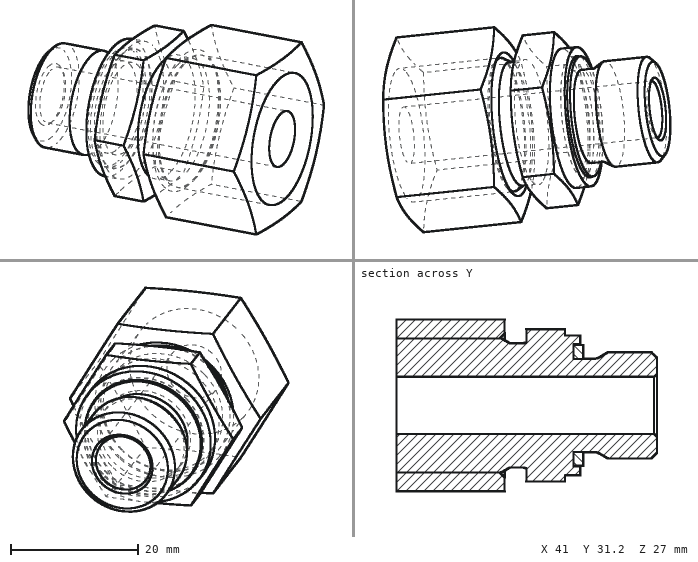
import cadquery as cq
import math


TOTAL_LENGTH = 41.0
BORE_RADIUS = 4.45
BORE_CHAMFER = 0.5
STUD_RADIUS = 8.35
STUD_CHAMFER = 0.9
STUD_END = 7.75
NECK_RADIUS = 7.4
NECK_TAPER_ANGLE = 30.0
NECK_START = 9.75
FLANGE_RADIUS = 11.03
FLANGE_START = 12.05
HEX_WIDTH = 24.0
HEX_START = 14.47
HEX_END = 20.6
RELIEF_RADIUS = 9.8
RELIEF_FLARE_LENGTH = 0.4
RELIEF_FLARE_RISE = 0.12
RELIEF_END = 23.15
SPIGOT_RADIUS = 10.58
SPIGOT_TAPER_ANGLE = 30.0

SEAL_RADIUS = 9.5
SEAL_RECESS_RADIUS = 9.6
SEAL_START = 11.6
SEAL_END = 13.1

NUT_WIDTH = 27.0
NUT_START = 23.95
NUT_ENTRY_CHAMFER = 0.78

HEX_CHAMFER_ANGLE = 15.0


def cylinder(start, end, radius):
    return cq.Workplane("YZ", origin=(start, 0, 0)).circle(radius).extrude(end - start)


def tube(start, end, outer_radius, inner_radius):
    return cylinder(start, end, outer_radius).cut(cylinder(start, end, inner_radius))


def chamfer_mouth(part, size):
    """Chamfer the mouth of the hole in the front end face, its smallest circular edge."""
    mouth = part.faces("<X").edges("%CIRCLE").edges(cq.selectors.RadiusNthSelector(0))
    return mouth.chamfer(size)


def chamfered_hexagon(start, end, width):
    """Hexagonal prism with flats facing up and down and conically chamfered corners."""
    corner_radius = width / math.sqrt(3)
    prism = cq.Workplane("YZ", origin=(start, 0, 0)).polygon(6, 2 * corner_radius).extrude(end - start)
    depth = (corner_radius - width / 2) * math.tan(math.radians(HEX_CHAMFER_ANGLE))
    turned_shape = (
        cq.Workplane("XY")
        .moveTo(start, 0)
        .lineTo(start, width / 2)
        .lineTo(start + depth, corner_radius)
        .lineTo(end - depth, corner_radius)
        .lineTo(end, width / 2)
        .lineTo(end, 0)
        .close()
        .revolve(360, (0, 0, 0), (1, 0, 0))
    )
    return prism.intersect(turned_shape)


def stud_and_neck():
    """Threaded stud whose back end tapers into the neck through a tangent arc."""
    taper = math.radians(NECK_TAPER_ANGLE)
    taper_corner = STUD_END + (STUD_RADIUS - NECK_RADIUS) / math.tan(taper)
    tangent = NECK_START - taper_corner
    arc_start = (taper_corner - tangent * math.cos(taper), NECK_RADIUS + tangent * math.sin(taper))
    return (
        cq.Workplane("XY")
        .moveTo(0, 0)
        .lineTo(0, STUD_RADIUS - STUD_CHAMFER)
        .lineTo(STUD_CHAMFER, STUD_RADIUS)
        .lineTo(STUD_END, STUD_RADIUS)
        .lineTo(*arc_start)
        .tangentArcPoint((NECK_START, NECK_RADIUS), relative=False)
        .lineTo(FLANGE_START, NECK_RADIUS)
        .lineTo(FLANGE_START, 0)
        .close()
        .revolve(360, (0, 0, 0), (1, 0, 0))
    )


def relief_and_spigot():
    """Relief flared towards the hexagon, tapering out to the spigot that fills the nut."""
    taper_length = (SPIGOT_RADIUS - RELIEF_RADIUS) / math.tan(math.radians(SPIGOT_TAPER_ANGLE))
    return (
        cq.Workplane("XY")
        .moveTo(HEX_END, 0)
        .lineTo(HEX_END, RELIEF_RADIUS + RELIEF_FLARE_RISE)
        .lineTo(HEX_END + RELIEF_FLARE_LENGTH, RELIEF_RADIUS)
        .lineTo(RELIEF_END, RELIEF_RADIUS)
        .lineTo(RELIEF_END + taper_length, SPIGOT_RADIUS)
        .lineTo(TOTAL_LENGTH, SPIGOT_RADIUS)
        .lineTo(TOTAL_LENGTH, 0)
        .close()
        .revolve(360, (0, 0, 0), (1, 0, 0))
    )


def make_body():
    body = stud_and_neck()
    body = body.union(cylinder(FLANGE_START, HEX_START, FLANGE_RADIUS))
    body = body.union(chamfered_hexagon(HEX_START, HEX_END, HEX_WIDTH))
    body = body.union(relief_and_spigot())
    body = body.cut(tube(FLANGE_START, SEAL_END, SEAL_RECESS_RADIUS, NECK_RADIUS))
    body = body.cut(cylinder(0, TOTAL_LENGTH, BORE_RADIUS))
    return chamfer_mouth(body, BORE_CHAMFER)


def make_seal():
    return tube(SEAL_START, SEAL_END, SEAL_RADIUS, NECK_RADIUS)


def make_nut():
    nut = chamfered_hexagon(NUT_START, TOTAL_LENGTH, NUT_WIDTH)
    nut = nut.cut(cylinder(NUT_START, TOTAL_LENGTH, SPIGOT_RADIUS))
    return chamfer_mouth(nut, NUT_ENTRY_CHAMFER)


body = make_body()
seal = make_seal()
nut = make_nut()

result = cq.Compound.makeCompound([body.val(), seal.val(), nut.val()])